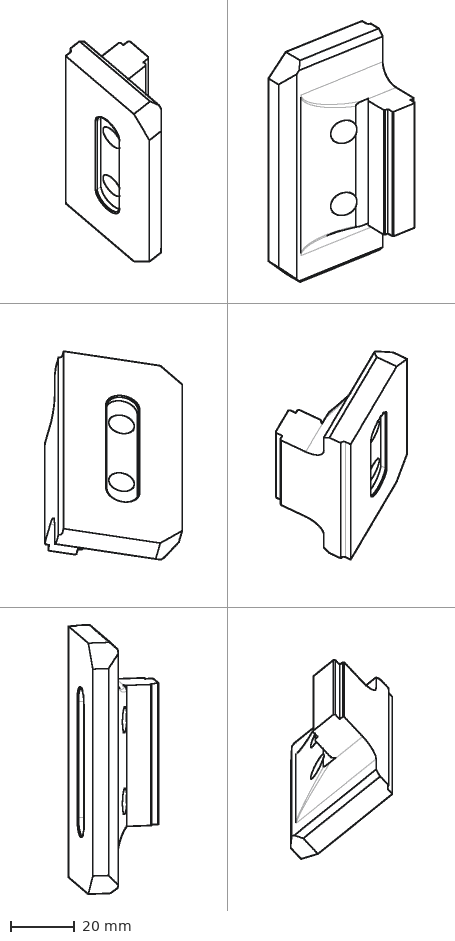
import cadquery as cq

LENGTH = 80.0
WIDTH = 39.0
PLATE_THICKNESS = 9.0
END_CHAMFER = 2.0
CORNER_CHAMFER = 7.0
SIDE_CHAMFER = 4.0

RELIEF_DEPTH = 3.0
RELIEF_RADIUS = 1.0

DEPTH = 27.0
BLOCK_LENGTH = 45.0
BLOCK_WIDTH = 12.2
SHOULDER_HEIGHT = 2.5
CREST_START = 1.6
CREST_WIDTH = 9.1
EDGE_CHAMFER = 0.4
FOOT_CHAMFER = 1.0

FILLET_RADIUS = 6.5
LEDGE_END = 16.3
RAMP_END = 33.4
RAMP_EDGE_RADIUS = 1.0

SLOT_CENTER_X = 20.0
SLOT_WIDTH = 10.1
SLOT_RIM_CHAMFER = 0.4
SLOT_LENGTH = 47.0
SLOT_DEPTH = 2.0
HOLE_DIAMETER = 8.2
HOLE_SPACING = 26.0

LEDGE_Y = PLATE_THICKNESS + FILLET_RADIUS
SHOULDER_Y = DEPTH - SHOULDER_HEIGHT
HALF_LENGTH = LENGTH / 2
HALF_BLOCK = BLOCK_LENGTH / 2


def make_plate():
    plate = cq.Workplane("XY").box(WIDTH, PLATE_THICKNESS, LENGTH, centered=(False, False, True))
    plate = plate.faces(">Y").edges("|X").chamfer(END_CHAMFER)
    return plate


def cut_plate_side(body):
    """Bevel the two right-hand corners and the back right edge."""
    side_bevel = (
        cq.Workplane("XY", origin=(0, 0, -HALF_LENGTH))
        .moveTo(WIDTH, PLATE_THICKNESS - SIDE_CHAMFER)
        .lineTo(WIDTH, PLATE_THICKNESS)
        .lineTo(WIDTH - SIDE_CHAMFER, PLATE_THICKNESS)
        .close()
        .extrude(LENGTH)
    )
    body = body.cut(side_bevel)
    for end in (-1, 1):
        corner = (
            cq.Workplane("XZ")
            .moveTo(WIDTH, end * (HALF_LENGTH - CORNER_CHAMFER))
            .lineTo(WIDTH, end * HALF_LENGTH)
            .lineTo(WIDTH - CORNER_CHAMFER, end * HALF_LENGTH)
            .close()
            .extrude(-PLATE_THICKNESS)
        )
        body = body.cut(corner)
    return body


def make_block():
    block = (
        cq.Workplane("XY", origin=(0, 0, -HALF_BLOCK))
        .rect(BLOCK_WIDTH, SHOULDER_Y, centered=False)
        .extrude(BLOCK_LENGTH)
        .faces(">Y").edges("|Z").chamfer(EDGE_CHAMFER)
    )
    crest = (
        cq.Workplane("XY", origin=(CREST_START, 0, -HALF_BLOCK))
        .rect(CREST_WIDTH, DEPTH, centered=False)
        .extrude(BLOCK_LENGTH)
        .faces(">Y").edges("|Z").chamfer(EDGE_CHAMFER)
    )
    foot_bevel = (
        cq.Workplane("XY", origin=(0, 0, -HALF_BLOCK))
        .moveTo(BLOCK_WIDTH - FOOT_CHAMFER, LEDGE_Y)
        .lineTo(BLOCK_WIDTH, LEDGE_Y)
        .lineTo(BLOCK_WIDTH, LEDGE_Y + FOOT_CHAMFER)
        .close()
        .extrude(BLOCK_LENGTH)
    )
    return block.union(crest).cut(foot_bevel)


def make_ramp():
    """Ledge and ramp, flared at both ends by concave fillets."""
    flared = (
        cq.Workplane("YZ")
        .moveTo(0, -HALF_BLOCK - FILLET_RADIUS)
        .lineTo(PLATE_THICKNESS, -HALF_BLOCK - FILLET_RADIUS)
        .radiusArc((LEDGE_Y, -HALF_BLOCK), FILLET_RADIUS)
        .lineTo(LEDGE_Y, HALF_BLOCK)
        .radiusArc((PLATE_THICKNESS, HALF_BLOCK + FILLET_RADIUS), FILLET_RADIUS)
        .lineTo(0, HALF_BLOCK + FILLET_RADIUS)
        .close()
        .extrude(RAMP_END)
    )
    side_profile = (
        cq.Workplane("XY", origin=(0, 0, -HALF_LENGTH))
        .lineTo(RAMP_END, 0)
        .lineTo(RAMP_END, PLATE_THICKNESS)
        .lineTo(LEDGE_END, LEDGE_Y)
        .lineTo(0, LEDGE_Y)
        .close()
        .extrude(LENGTH)
    )
    ramp = flared.intersect(side_profile)
    middle_x = (LEDGE_END + RAMP_END) / 2
    for end in (-1, 1):
        edge_point = (middle_x, PLATE_THICKNESS + FILLET_RADIUS / 2, end * HALF_BLOCK)
        ramp = ramp.edges(cq.selectors.NearestToPointSelector(edge_point)).fillet(RAMP_EDGE_RADIUS)
    return ramp


def cut_relief(body):
    relief = (
        cq.Workplane("XY", origin=(0, 0, -HALF_LENGTH))
        .lineTo(RELIEF_RADIUS, 0)
        .lineTo(RELIEF_RADIUS, RELIEF_DEPTH - RELIEF_RADIUS)
        .radiusArc((0, RELIEF_DEPTH), -RELIEF_RADIUS)
        .close()
        .extrude(LENGTH)
    )
    return body.cut(relief)


def cut_slot_and_holes(body):
    front = cq.Workplane("XZ", origin=(SLOT_CENTER_X, 0, 0))
    slot = front.slot2D(SLOT_LENGTH, SLOT_WIDTH, 90).extrude(-SLOT_DEPTH)
    rim = (
        front.slot2D(SLOT_LENGTH + 2 * SLOT_RIM_CHAMFER, SLOT_WIDTH + 2 * SLOT_RIM_CHAMFER, 90)
        .extrude(-SLOT_RIM_CHAMFER, taper=45)
    )
    holes = (
        front.pushPoints([(0, -HOLE_SPACING / 2), (0, HOLE_SPACING / 2)])
        .circle(HOLE_DIAMETER / 2)
        .extrude(-DEPTH)
    )
    return body.cut(slot).cut(rim).cut(holes)


body = make_plate().union(make_ramp())
body = cut_plate_side(body).union(make_block())
body = cut_relief(body)
result = cut_slot_and_holes(body)